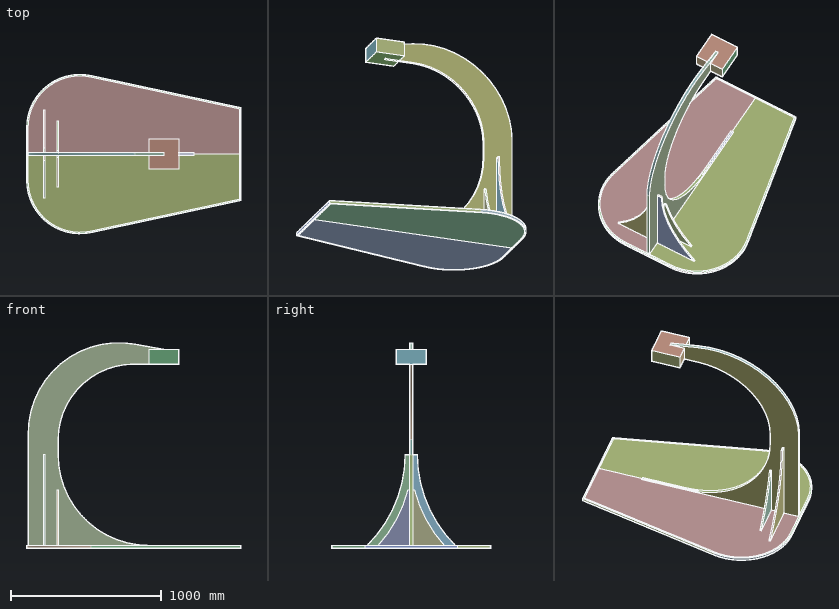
import cadquery as cq
import math

BASE_LENGTH = 1420.0
RIM_WIDTH = 10.0
BASE_THICKNESS = 20.0
FLOOR_LENGTH = BASE_LENGTH - 2 * RIM_WIDTH
FLOOR_HALF_WIDTH = 518.0
FLOOR_END_HALF_WIDTH = 300.0
FLOOR_CORNER_RADIUS = 344.0

ARM_THICKNESS = 20.0
COLUMN_WIDTH = 200.0
ARM_HEIGHT = 1343.0
ARM_OUTER_RADIUS = 600.0
ARM_LOWER_RADIUS = 599.0
ARM_UPPER_RADIUS = 500.0
ARM_TIP_X = 899.0
FOOT_TIP_X = 1099.0
FOOT_THICKNESS = 0.3

BLOCK_SIDE = 199.0
BLOCK_HEIGHT = 100.0
BLOCK_BOTTOM = 1200.0
BLOCK_TOP = BLOCK_BOTTOM + BLOCK_HEIGHT

GUSSET_THICKNESS = 10.0
GUSSET_EDGE_RADIUS = 850.0
REAR_GUSSET = {"x": 102.0, "height": 602.0, "top_reach": 41.0, "foot_reach": 293.0}
FRONT_GUSSET = {
    "x": COLUMN_WIDTH - GUSSET_THICKNESS,
    "height": 366.0,
    "top_reach": 23.0,
    "foot_reach": 219.0,
}


def point_on_circle(center, radius, angle):
    """Point at an angle in radians, counted from the first axis."""
    return (center[0] + radius * math.cos(angle), center[1] + radius * math.sin(angle))


def tangent_angle(center, radius, point):
    """Angle on a circle where a line to an outside point on its right touches the upper side."""
    dx = point[0] - center[0]
    dy = point[1] - center[1]
    return math.atan2(dy, dx) + math.acos(radius / math.hypot(dx, dy))


def half_base(margin):
    """The +Y half of the floor outline, grown outward by a margin."""
    radius = FLOOR_CORNER_RADIUS + margin
    center = (FLOOR_CORNER_RADIUS, FLOOR_HALF_WIDTH - FLOOR_CORNER_RADIUS)
    touch = tangent_angle(center, FLOOR_CORNER_RADIUS, (FLOOR_LENGTH, FLOOR_END_HALF_WIDTH))
    slope = touch - math.pi / 2
    end_x = FLOOR_LENGTH + margin
    end_y = FLOOR_END_HALF_WIDTH + margin * (math.tan(slope) + 1 / math.cos(slope))
    return (
        cq.Workplane("XY")
        .moveTo(-margin, 0)
        .lineTo(-margin, center[1])
        .threePointArc(
            point_on_circle(center, radius, (math.pi + touch) / 2),
            point_on_circle(center, radius, touch),
        )
        .lineTo(end_x, end_y)
        .lineTo(end_x, 0)
        .close()
        .extrude(-BASE_THICKNESS)
    )


def make_floor_plate(side):
    """One floor plate; side is +1 for the +Y half and -1 for the -Y half."""
    plate = half_base(0)
    return plate if side > 0 else plate.mirror("XZ")


def make_rim():
    """Closed band around both floor plates."""
    outer_half = half_base(RIM_WIDTH)
    inner_half = half_base(0)
    outer = outer_half.union(outer_half.mirror("XZ"))
    inner = inner_half.union(inner_half.mirror("XZ"))
    return outer.cut(inner)


def make_arm():
    outer_center = (ARM_OUTER_RADIUS, ARM_HEIGHT - ARM_OUTER_RADIUS)
    upper_center = (COLUMN_WIDTH + ARM_UPPER_RADIUS, BLOCK_BOTTOM - ARM_UPPER_RADIUS)
    lower_center = (COLUMN_WIDTH + ARM_LOWER_RADIUS, FOOT_THICKNESS + ARM_LOWER_RADIUS)
    tip = (ARM_TIP_X, BLOCK_TOP)
    touch = tangent_angle(outer_center, ARM_OUTER_RADIUS, tip)
    return (
        cq.Workplane("XZ")
        .moveTo(0, 0)
        .lineTo(0, outer_center[1])
        .threePointArc(
            point_on_circle(outer_center, ARM_OUTER_RADIUS, (math.pi + touch) / 2),
            point_on_circle(outer_center, ARM_OUTER_RADIUS, touch),
        )
        .lineTo(*tip)
        .lineTo(ARM_TIP_X, BLOCK_BOTTOM)
        .lineTo(upper_center[0], BLOCK_BOTTOM)
        .threePointArc(
            point_on_circle(upper_center, ARM_UPPER_RADIUS, 3 * math.pi / 4),
            (COLUMN_WIDTH, upper_center[1]),
        )
        .lineTo(COLUMN_WIDTH, lower_center[1])
        .threePointArc(
            point_on_circle(lower_center, ARM_LOWER_RADIUS, 5 * math.pi / 4),
            (lower_center[0], FOOT_THICKNESS),
        )
        .lineTo(FOOT_TIP_X, FOOT_THICKNESS)
        .lineTo(FOOT_TIP_X, 0)
        .close()
        .extrude(ARM_THICKNESS / 2, both=True)
    )


def make_block(arm):
    """Head block centred on the arm tip, slotted to take the arm."""
    block = (
        cq.Workplane("XY", origin=(ARM_TIP_X, 0, BLOCK_BOTTOM))
        .rect(BLOCK_SIDE, BLOCK_SIDE)
        .extrude(BLOCK_HEIGHT)
    )
    return block.cut(arm)


def make_gusset(x, height, top_reach, foot_reach, side):
    """One gusset against the arm, with a hollow arc as its outer edge."""
    inner_y = ARM_THICKNESS / 2
    half_chord = math.hypot(foot_reach - top_reach, height) / 2
    sagitta = GUSSET_EDGE_RADIUS - math.sqrt(GUSSET_EDGE_RADIUS**2 - half_chord**2)
    gusset = (
        cq.Workplane("YZ", origin=(x, 0, 0))
        .moveTo(inner_y, 0)
        .lineTo(inner_y, height)
        .lineTo(top_reach, height)
        .sagittaArc((foot_reach, 0), -sagitta)
        .close()
        .extrude(GUSSET_THICKNESS)
    )
    return gusset if side > 0 else gusset.mirror("XZ")


SIDES = (1, -1)
rim = make_rim()
floor_plates = [make_floor_plate(side) for side in SIDES]
arm = make_arm()
block = make_block(arm)
gussets = [make_gusset(**sizes, side=side) for sizes in (REAR_GUSSET, FRONT_GUSSET) for side in SIDES]

result = cq.Compound.makeCompound(
    [
        rim.val(),
        *[plate.val() for plate in floor_plates],
        arm.val(),
        block.val(),
        *[gusset.val() for gusset in gussets],
    ]
)